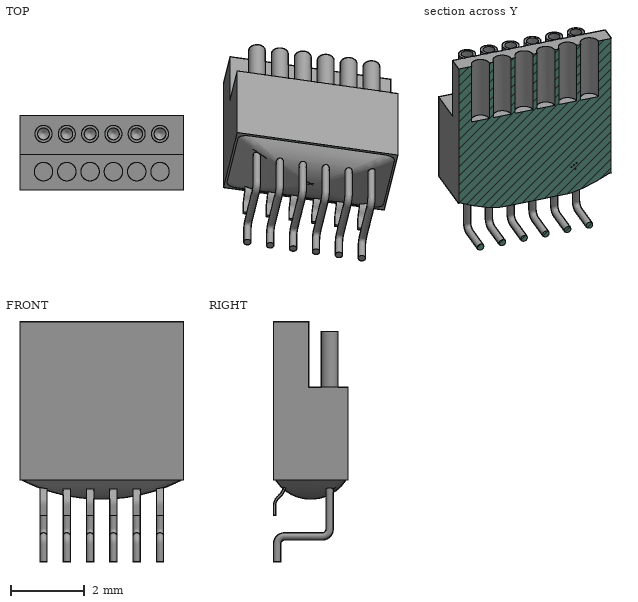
import cadquery as cq
import math

total_height = 6.53
width = 4.45
depth = 2.03
housing_height = 4.31
step_height = 1.775
tall_depth = 0.965

contact_count = 6
pitch = 0.635
row_inset = 0.5

tube_diameter = 0.465
tube_height = 1.515
bore_diameter = 0.32
bore_depth = tube_height
drill_tip_angle = 118.0

socket_diameter = 0.5
socket_depth = step_height

dome_height = 0.515
dome_inset = 0.06
dome_edge_radius = 0.26

wire_diameter = 0.2
wire_bend_radius = 0.2
wire_run_drop = 1.53

strip_width = wire_diameter
strip_thickness = 0.065
strip_drop = 0.955
strip_tail = 0.26
strip_lower_radius = 0.315
strip_upper_radius = 0.5
strip_angle = math.radians(50.0)

top_z = total_height
housing_z = top_z - housing_height
step_z = top_z - step_height
tube_top_z = step_z + tube_height
socket_row_y = row_inset
tube_row_y = depth - row_inset
contact_xs = [(i - (contact_count - 1) / 2) * pitch for i in range(contact_count)]


def cylinder(x, y, bottom_z, diameter, height):
    """Upright cylinder standing on bottom_z."""
    base = cq.Workplane("XY", origin=(x, y, bottom_z))
    return base.circle(diameter / 2).extrude(height)


def make_housing():
    outline = [
        (0, housing_z),
        (depth, housing_z),
        (depth, step_z),
        (tall_depth, step_z),
        (tall_depth, top_z),
        (0, top_z),
    ]
    return cq.Workplane("YZ").polyline(outline).close().extrude(width / 2, both=True)


def make_dome():
    """Two crossed arched prisms, with their shared corners rounded."""
    half_x = width / 2 - dome_inset
    half_y = depth / 2 - dome_inset

    def arch(plane, half_span, half_length):
        sketch = cq.Workplane(plane, origin=(0, depth / 2, housing_z))
        profile = sketch.moveTo(-half_span, 0).threePointArc((0, -dome_height), (half_span, 0)).close()
        return profile.extrude(half_length, both=True)

    along_y = arch("XZ", half_x, half_y)
    along_x = arch("YZ", half_y, half_x)
    crossed = along_y.intersect(along_x)
    return crossed.edges("not >Z").fillet(dome_edge_radius)


def make_bore(x):
    """Blind bore with a conical drill tip at its bottom."""
    radius = bore_diameter / 2
    tip_height = radius / math.tan(math.radians(drill_tip_angle / 2))
    bore_bottom = tube_top_z - bore_depth
    half_section = [
        (0, tube_top_z),
        (radius, tube_top_z),
        (radius, bore_bottom),
        (0, bore_bottom - tip_height),
    ]
    section = cq.Workplane("XZ", origin=(x, tube_row_y, 0)).polyline(half_section).close()
    return section.revolve(360, (0, 0), (0, 1))


def make_wire_lead(x):
    """Wire that drops from the dome, runs forward and turns down again."""
    r = wire_bend_radius
    corner = r * (1 - math.sqrt(0.5))
    run_z = housing_z - wire_run_drop
    front_y = wire_diameter / 2
    path = (
        cq.Workplane("YZ", origin=(x, 0, 0))
        .moveTo(tube_row_y, housing_z)
        .lineTo(tube_row_y, run_z + r)
        .threePointArc((tube_row_y - corner, run_z + corner), (tube_row_y - r, run_z))
        .lineTo(front_y + r, run_z)
        .threePointArc((front_y + corner, run_z - corner), (front_y, run_z - r))
        .lineTo(front_y, 0)
    )
    return cq.Workplane("XY", origin=(x, tube_row_y, housing_z)).circle(wire_diameter / 2).sweep(path)


def make_strip_lead(x):
    """Strip that drops from the dome, curves forward in an S and hangs down."""
    front_y = strip_thickness / 2
    tail_z = housing_z - strip_drop
    lower_z = tail_z + strip_tail

    def lower_arc(angle):
        """Point at this angle along the arc that leaves the hanging tail."""
        y = front_y + strip_lower_radius * (1 - math.cos(angle))
        return y, lower_z + strip_lower_radius * math.sin(angle)

    turn_y, turn_z = lower_arc(strip_angle)

    def upper_arc(angle):
        """Point on the arc back to vertical where its slope is this angle from Z."""
        y = turn_y + strip_upper_radius * (math.cos(angle) - math.cos(strip_angle))
        return y, turn_z + strip_upper_radius * (math.sin(strip_angle) - math.sin(angle))

    path = (
        cq.Workplane("YZ", origin=(x, 0, 0))
        .moveTo(front_y, tail_z)
        .lineTo(front_y, lower_z)
        .threePointArc(lower_arc(strip_angle / 2), (turn_y, turn_z))
        .threePointArc(upper_arc(strip_angle / 2), upper_arc(0))
    )
    return cq.Workplane("XY", origin=(x, front_y, tail_z)).rect(strip_width, strip_thickness).sweep(path)


result = make_housing().union(make_dome())
for contact_x in contact_xs:
    result = result.union(cylinder(contact_x, tube_row_y, step_z, tube_diameter, tube_height))
    result = result.union(make_wire_lead(contact_x))
    result = result.union(make_strip_lead(contact_x))
    result = result.cut(make_bore(contact_x))
    result = result.cut(cylinder(contact_x, socket_row_y, top_z - socket_depth, socket_diameter, socket_depth))